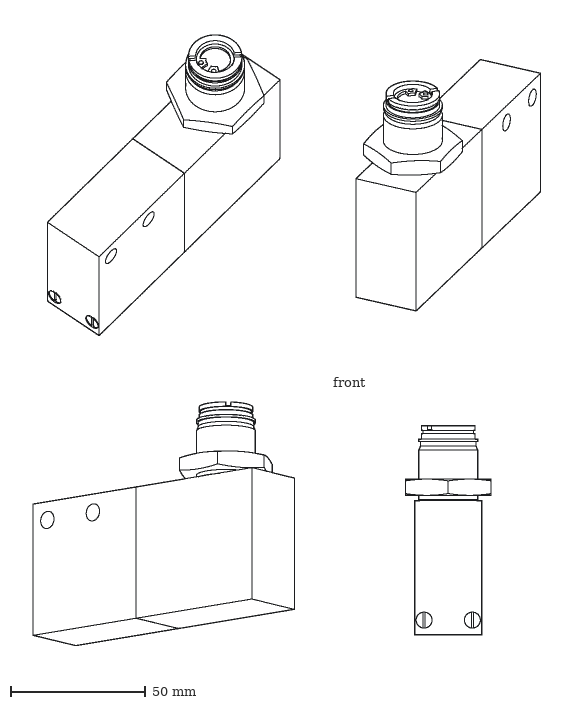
import cadquery as cq
import math

TOTAL_LENGTH = 106.0
BLOCK_WIDTH = 25.0
BLOCK_HEIGHT = 50.0
FRONT_LENGTH = 49.9
SEAM_GAP = 0.1
REAR_LENGTH = TOTAL_LENGTH - FRONT_LENGTH - SEAM_GAP
FRONT_END_Y = -SEAM_GAP - FRONT_LENGTH

CROSS_HOLE_DIAMETER = 6.5
CROSS_HOLE_END_OFFSET = 7.0
CROSS_HOLE_PITCH = 22.0
CROSS_HOLE_TOP_OFFSET = 7.0

SCREW_DIAMETER = 5.9
SCREW_RECESS_DEPTH = 0.4
SCREW_SIDE_OFFSET = 3.5
SCREW_HEIGHT = 5.5
SCREW_SLOT_WIDTH = 0.8
SCREW_SLOT_DEPTH = 1.3

TOTAL_HEIGHT = 78.0
CONNECTOR_END_OFFSET = 22.9
CONNECTOR_Y = REAR_LENGTH - CONNECTOR_END_OFFSET
BARREL_DIAMETER = 22.0
FOOT_CHAMFER = 0.5
NECK_DIAMETER = 20.8
RIM_DIAMETER = 20.0
GROOVE_DIAMETER = 19.0

RIM_HEIGHT = 1.7
GROOVE_HEIGHT = 1.3
UPPER_BAND_HEIGHT = 2.0
COLLAR_HEIGHT = 1.0
NECK_HEIGHT = 1.6
SHOULDER_HEIGHT = 1.6

NUT_ACROSS_FLATS = 32.0
NUT_HEIGHT = 6.0
NUT_CLEARANCE = 2.0
NUT_CHAMFER_ANGLE = 15.0

BORE_TOP_DIAMETER = 14.6
BORE_FLOOR_DIAMETER = 14.0
BORE_DEPTH = 1.7
BORE_TAPER_DEPTH = 1.3
RECESS_DIAMETER = 11.5
RECESS_DEPTH = 1.1
LUG_INNER_RADIUS = 3.5
LUG_ANGLE = 34.0
LUG_HALF_SPAN = 20.5
CONTACT_DIAMETER = 1.7
CONTACT_CIRCLE_RADIUS = 5.5
CONTACT_DEPTH = 2.1
KEY_SLOT_WIDTH = 2.0
KEY_SLOT_DEPTH = 1.5
KEY_SLOT_ANGLE = 45.0

BORE_FLOOR_Z = TOTAL_HEIGHT - BORE_DEPTH
RECESS_Z = BORE_FLOOR_Z - RECESS_DEPTH


def disc(diameter, bottom, height):
    """Cylinder on the connector axis."""
    return cq.Workplane("XY", origin=(0, CONNECTOR_Y, bottom)).circle(diameter / 2).extrude(height)


def polar(radius, angle):
    """Point at an angle in degrees from -Y, turning towards +X."""
    turn = math.radians(angle)
    return radius * math.sin(turn), -radius * math.cos(turn)


def ring_sector(inner, outer, start, end):
    """Ring sector between two radii and two angles, as high as the recess is deep."""
    middle = (start + end) / 2
    return (
        cq.Workplane("XY", origin=(0, CONNECTOR_Y, RECESS_Z))
        .moveTo(*polar(inner, start))
        .lineTo(*polar(outer, start))
        .threePointArc(polar(outer, middle), polar(outer, end))
        .lineTo(*polar(inner, end))
        .threePointArc(polar(inner, middle), polar(inner, start))
        .close()
        .extrude(RECESS_DEPTH)
    )


def connector_barrel():
    """Stepped turned barrel, from the block's top face to the rim."""
    barrel_radius = BARREL_DIAMETER / 2
    neck_radius = NECK_DIAMETER / 2
    rim_radius = RIM_DIAMETER / 2
    groove_radius = GROOVE_DIAMETER / 2
    rim_bottom = TOTAL_HEIGHT - RIM_HEIGHT
    groove_bottom = rim_bottom - GROOVE_HEIGHT
    collar_top = groove_bottom - UPPER_BAND_HEIGHT
    collar_bottom = collar_top - COLLAR_HEIGHT
    neck_bottom = collar_bottom - NECK_HEIGHT
    shoulder_bottom = neck_bottom - SHOULDER_HEIGHT
    profile = [
        (0, BLOCK_HEIGHT),
        (barrel_radius - FOOT_CHAMFER, BLOCK_HEIGHT),
        (barrel_radius, BLOCK_HEIGHT + FOOT_CHAMFER),
        (barrel_radius, shoulder_bottom),
        (neck_radius, neck_bottom),
        (neck_radius, collar_bottom),
        (barrel_radius, collar_bottom),
        (barrel_radius, collar_top),
        (rim_radius, collar_top),
        (rim_radius, groove_bottom),
        (groove_radius, groove_bottom),
        (groove_radius, rim_bottom),
        (rim_radius, rim_bottom),
        (rim_radius, TOTAL_HEIGHT),
        (0, TOTAL_HEIGHT),
    ]
    outline = cq.Workplane("XZ").polyline(profile).close()
    return outline.revolve(360, (0, 0, 0), (0, 1, 0)).translate((0, CONNECTOR_Y, 0))


def hex_nut():
    """Hexagon with corners on the Y direction, both ends coned down to the across-flats circle."""
    flat_radius = NUT_ACROSS_FLATS / 2
    corner_radius = flat_radius / math.cos(math.radians(30))
    corner_drop = (corner_radius - flat_radius) * math.tan(math.radians(NUT_CHAMFER_ANGLE))
    bottom = BLOCK_HEIGHT + NUT_CLEARANCE
    top = bottom + NUT_HEIGHT
    hexagon = (
        cq.Workplane("XY", origin=(0, CONNECTOR_Y, bottom))
        .transformed(rotate=(0, 0, 90))
        .polygon(6, 2 * corner_radius)
        .extrude(NUT_HEIGHT)
    )
    cone_profile = [
        (0, bottom),
        (flat_radius, bottom),
        (corner_radius, bottom + corner_drop),
        (corner_radius, top - corner_drop),
        (flat_radius, top),
        (0, top),
    ]
    outline = cq.Workplane("XZ").polyline(cone_profile).close()
    cones = outline.revolve(360, (0, 0, 0), (0, 1, 0)).translate((0, CONNECTOR_Y, 0))
    return hexagon.intersect(cones)


def socket_cutter():
    """Material removed from the connector's top: bore, tapered mouth, keyed recess and contact holes."""
    straight_bore = disc(BORE_FLOOR_DIAMETER, BORE_FLOOR_Z, BORE_DEPTH)
    tapered_mouth = (
        cq.Workplane("XY", origin=(0, CONNECTOR_Y, TOTAL_HEIGHT - BORE_TAPER_DEPTH))
        .circle(BORE_FLOOR_DIAMETER / 2)
        .workplane(offset=BORE_TAPER_DEPTH)
        .circle(BORE_TOP_DIAMETER / 2)
        .loft()
    )
    recess = disc(RECESS_DIAMETER, RECESS_Z, RECESS_DEPTH)
    floor_radius = BORE_FLOOR_DIAMETER / 2
    key_half_angle = LUG_ANGLE - LUG_HALF_SPAN
    keyway = ring_sector(LUG_INNER_RADIUS, floor_radius, -key_half_angle, key_half_angle)
    cutter = straight_bore.union(tapered_mouth).union(recess).union(keyway)
    for side in (-1, 1):
        angle = side * LUG_ANGLE
        lug = ring_sector(LUG_INNER_RADIUS, floor_radius, angle - LUG_HALF_SPAN, angle + LUG_HALF_SPAN)
        x, y = polar(CONTACT_CIRCLE_RADIUS, angle)
        contact = disc(CONTACT_DIAMETER, BORE_FLOOR_Z - CONTACT_DEPTH, CONTACT_DEPTH).translate((x, y, 0))
        cutter = cutter.cut(lug).union(contact)
    return cutter


def key_slot_cutter():
    """One straight slot across the rim, through the connector axis."""
    return (
        cq.Workplane("XY", origin=(0, CONNECTOR_Y, TOTAL_HEIGHT - KEY_SLOT_DEPTH))
        .transformed(rotate=(0, 0, KEY_SLOT_ANGLE))
        .rect(BARREL_DIAMETER, KEY_SLOT_WIDTH)
        .extrude(KEY_SLOT_DEPTH)
    )


def make_rear_block():
    """Rear block with the nut and the connector on its top face."""
    block = cq.Workplane("XY").box(BLOCK_WIDTH, REAR_LENGTH, BLOCK_HEIGHT, centered=(True, False, False))
    body = block.union(connector_barrel()).union(hex_nut())
    return body.cut(socket_cutter()).cut(key_slot_cutter())


def make_front_block():
    """Front block with two cross holes and two slotted screw recesses."""
    block = (
        cq.Workplane("XY", origin=(0, FRONT_END_Y, 0))
        .box(BLOCK_WIDTH, FRONT_LENGTH, BLOCK_HEIGHT, centered=(True, False, False))
    )
    first_hole_y = FRONT_END_Y + CROSS_HOLE_END_OFFSET
    hole_z = BLOCK_HEIGHT - CROSS_HOLE_TOP_OFFSET
    cross_holes = (
        cq.Workplane("YZ", origin=(-BLOCK_WIDTH / 2, 0, 0))
        .pushPoints([(first_hole_y, hole_z), (first_hole_y + CROSS_HOLE_PITCH, hole_z)])
        .circle(CROSS_HOLE_DIAMETER / 2)
        .extrude(BLOCK_WIDTH)
    )
    body = block.cut(cross_holes)
    screw_x = BLOCK_WIDTH / 2 - SCREW_SIDE_OFFSET
    for x in (-screw_x, screw_x):
        face = cq.Workplane("XZ", origin=(x, FRONT_END_Y, SCREW_HEIGHT))
        recess = face.circle(SCREW_DIAMETER / 2).extrude(-SCREW_RECESS_DEPTH)
        slot_strip = face.rect(SCREW_SLOT_WIDTH, SCREW_DIAMETER).extrude(-SCREW_SLOT_DEPTH)
        screw_shank = face.circle(SCREW_DIAMETER / 2).extrude(-SCREW_SLOT_DEPTH)
        body = body.cut(recess).cut(slot_strip.intersect(screw_shank))
    return body


rear_block = make_rear_block()
front_block = make_front_block()

result = cq.Compound.makeCompound([rear_block.val(), front_block.val()])